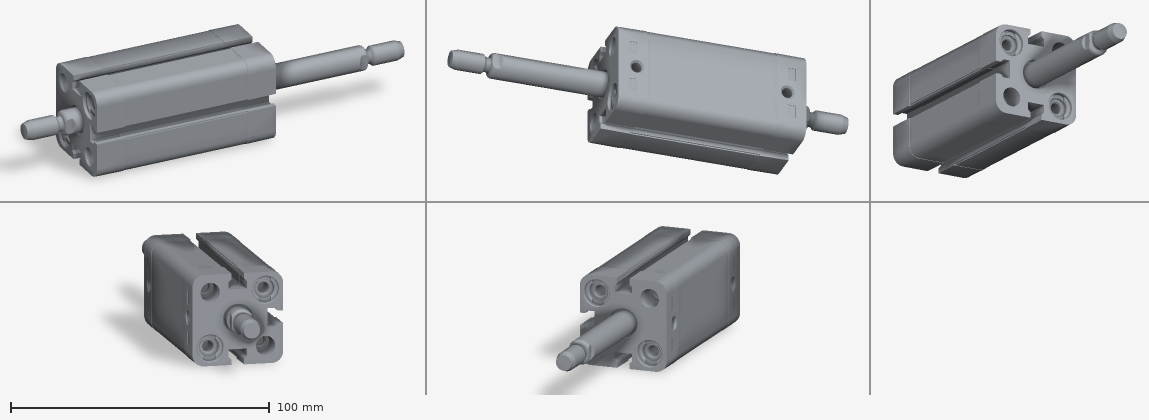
import cadquery as cq
import math

TOTAL_LENGTH = 162.1
FRONT_PROJECTION = 22.5
HOUSING_LENGTH = 77.0
CAP_LENGTH = 12.0

FRONT_TIP_Y = -TOTAL_LENGTH / 2
REAR_TIP_Y = TOTAL_LENGTH / 2
FRONT_FACE_Y = FRONT_TIP_Y + FRONT_PROJECTION
REAR_FACE_Y = FRONT_FACE_Y + HOUSING_LENGTH
MIDDLE_Y = (FRONT_FACE_Y + REAR_FACE_Y) / 2
BARREL_LENGTH = HOUSING_LENGTH - 2 * CAP_LENGTH

CAP_WIDTH = 36.3
CAP_TAPER = 0.23
BARREL_WIDTH = 36.0
FLAT_WIDTH = 27.0

SLOT_MOUTH = 5.0
CAP_SLOT_BOTTOM = 7.3
BARREL_SLOT_BOTTOM = 6.8
SLOT_DEPTH = 6.3
SLOT_LIP = 2.3
SLOT_REBATE = 0.5
SLOT_ANGLES = (0, 90, 180)

CORNER_PITCH = 22.0
BOLT_HOLE_D = 4.2
BOLT_COUNTERSINK_D = 5.2
SOCKET_D = 7.6
SOCKET_DEPTH = 9.7
COUNTERBORED_SOCKET_DEPTH = 3.2
COUNTERBORE_D = 10.5
COUNTERBORE_DEPTH = 1.3
COUNTERBORE_CHAMFER = 0.25
LEDGE_COUNTERSINK_D = 8.6
LEDGE_SLOT_WIDTH = 5.0
LEDGE_SLOT_DEPTH = 1.0

PORT_D = 4.2
PORT_MOUTH_D = 5.8
PORT_DEPTH = 8.1
PORT_INSET = 7.6
MARK_LENGTH = 3.2
MARK_HEIGHT = 5.2
MARK_DEPTH = 0.25
MARK_INSET = 6.0
MARK_Z = 8.1

ROD_D = 10.0
ROD_RECESS_D = 11.3
ROD_RECESS_MOUTH_D = 12.0
ROD_RECESS_DEPTH = 1.6
THREAD_D = 8.0
GROOVE_D = 5.8
TIP_D = 6.3
SHOULDER_FROM_TIP = 15.9
SHOULDER_ROUND = 1.5
GROOVE_ROUND = 0.5
GROOVE_LENGTH = 2.0
TIP_CHAMFER_LENGTH = 2.6
WRENCH_WIDTH = 8.0
WRENCH_FLAT_LENGTH = 3.0


def rounded_square(width):
    """Square in the XZ plane, its corners rounded so that every size has the same flats."""
    radius = (width - FLAT_WIDTH) / 2
    return cq.Sketch().rect(width, width).vertices().fillet(radius)


def y_cylinder(diameter, start_y, length, x=0.0, z=0.0):
    return cq.Workplane(
        cq.Solid.makeCylinder(diameter / 2, length, cq.Vector(x, start_y, z), cq.Vector(0, 1, 0))
    )


def y_cone(start_diameter, end_diameter, start_y, length, x=0.0, z=0.0):
    return cq.Workplane(
        cq.Solid.makeCone(
            start_diameter / 2, end_diameter / 2, length, cq.Vector(x, start_y, z), cq.Vector(0, 1, 0)
        )
    )


def cut_slots(body, width, bottom_width, start_y, length, rebate=0.0):
    """Cut the undercut sensor slot into the top, +X and bottom sides, stepped at its edges by the rebate."""
    top = width / 2
    mouth = SLOT_MOUTH / 2
    bottom = bottom_width / 2
    lip_z = CAP_WIDTH / 2 - SLOT_LIP
    floor_z = CAP_WIDTH / 2 - SLOT_DEPTH
    right_side = [(bottom, floor_z), (bottom, lip_z - (bottom - mouth)), (mouth, lip_z)]
    if rebate > 0:
        right_side.append((mouth, top - rebate))
        right_side.append((mouth + rebate, top - rebate))
    right_side.append((mouth + rebate, CAP_WIDTH))
    left_side = [(-x, z) for x, z in reversed(right_side)]
    profile = cq.Workplane("XZ", origin=(0, start_y, 0)).polyline(right_side + left_side).close()
    slot = profile.extrude(-length)
    for angle in SLOT_ANGLES:
        body = body.cut(slot.rotate((0, 0, 0), (0, 1, 0), angle))
    return body


def make_barrel():
    start_y = FRONT_FACE_Y + CAP_LENGTH
    barrel = cq.Workplane("XZ", origin=(0, start_y, 0)).placeSketch(rounded_square(BARREL_WIDTH))
    barrel = barrel.extrude(-BARREL_LENGTH)
    barrel = cut_slots(barrel, BARREL_WIDTH, BARREL_SLOT_BOTTOM, start_y, BARREL_LENGTH, SLOT_REBATE)
    return barrel.cut(y_cylinder(ROD_D, start_y, BARREL_LENGTH))


def cut_socket(cap, x, z, depth):
    """Corner hole that narrows, through a countersink, to the bolt hole."""
    floor_y = FRONT_FACE_Y + depth
    countersink = (BOLT_COUNTERSINK_D - BOLT_HOLE_D) / 2
    cap = cap.cut(y_cylinder(BOLT_HOLE_D, FRONT_FACE_Y, CAP_LENGTH, x, z))
    cap = cap.cut(y_cylinder(SOCKET_D, FRONT_FACE_Y, depth, x, z))
    return cap.cut(y_cone(BOLT_COUNTERSINK_D, BOLT_HOLE_D, floor_y, countersink, x, z))


def cut_counterbore(cap, x, z):
    """Chamfered counterbore whose ledge is countersunk and notched above and below the socket."""
    mouth_d = COUNTERBORE_D + 2 * COUNTERBORE_CHAMFER
    ledge_y = FRONT_FACE_Y + COUNTERBORE_DEPTH
    countersink = (LEDGE_COUNTERSINK_D - SOCKET_D) / 2
    cap = cap.cut(y_cone(mouth_d, COUNTERBORE_D, FRONT_FACE_Y, COUNTERBORE_CHAMFER, x, z))
    cap = cap.cut(y_cylinder(COUNTERBORE_D, FRONT_FACE_Y, COUNTERBORE_DEPTH, x, z))
    cap = cap.cut(y_cone(LEDGE_COUNTERSINK_D, SOCKET_D, ledge_y, countersink, x, z))
    slot = cq.Workplane("XY").box(LEDGE_SLOT_WIDTH, LEDGE_SLOT_DEPTH, COUNTERBORE_D)
    slot = slot.translate((x, ledge_y + LEDGE_SLOT_DEPTH / 2, z))
    return cap.cut(slot.intersect(y_cylinder(COUNTERBORE_D, ledge_y, LEDGE_SLOT_DEPTH, x, z)))


def cut_corner_holes(cap):
    """Sockets in all four corners; those on one diagonal also have a counterbore."""
    offset = CORNER_PITCH / 2
    for x in (-offset, offset):
        for z in (-offset, offset):
            if x == z:
                cap = cut_socket(cap, x, z, COUNTERBORED_SOCKET_DEPTH)
                cap = cut_counterbore(cap, x, z)
            else:
                cap = cut_socket(cap, x, z, SOCKET_DEPTH)
    return cap


def cut_rod_passage(cap):
    """Through hole for the rod, with a wider chamfered recess at the outer face."""
    chamfer = (ROD_RECESS_MOUTH_D - ROD_RECESS_D) / 2
    cap = cap.cut(y_cylinder(ROD_D, FRONT_FACE_Y, CAP_LENGTH))
    cap = cap.cut(y_cylinder(ROD_RECESS_D, FRONT_FACE_Y, ROD_RECESS_DEPTH))
    return cap.cut(y_cone(ROD_RECESS_MOUTH_D, ROD_RECESS_D, FRONT_FACE_Y, chamfer))


def cut_port(cap):
    """Blind, countersunk air port in the -X side."""
    side_x = -CAP_WIDTH / 2
    chamfer = (PORT_MOUTH_D - PORT_D) / 2
    mouth = cq.Vector(side_x, FRONT_FACE_Y + PORT_INSET, 0)
    inward = cq.Vector(1, 0, 0)
    cap = cap.cut(cq.Workplane(cq.Solid.makeCylinder(PORT_D / 2, PORT_DEPTH, mouth, inward)))
    return cap.cut(cq.Workplane(cq.Solid.makeCone(PORT_MOUTH_D / 2, PORT_D / 2, chamfer, mouth, inward)))


def cut_marks(cap):
    """Shallow rectangular recesses above and below the port."""
    for z in (-MARK_Z, MARK_Z):
        mark = cq.Workplane("XY").box(2 * MARK_DEPTH, MARK_LENGTH, MARK_HEIGHT)
        cap = cap.cut(mark.translate((-CAP_WIDTH / 2, FRONT_FACE_Y + MARK_INSET, z)))
    return cap


def make_front_cap():
    cap = (
        cq.Workplane("XZ", origin=(0, FRONT_FACE_Y, 0))
        .placeSketch(
            rounded_square(CAP_WIDTH - CAP_TAPER),
            rounded_square(CAP_WIDTH).moved(cq.Location(cq.Vector(0, 0, -CAP_LENGTH))),
        )
        .loft()
    )
    cap = cut_slots(cap, CAP_WIDTH, CAP_SLOT_BOTTOM, FRONT_FACE_Y, CAP_LENGTH)
    cap = cut_corner_holes(cap)
    cap = cut_rod_passage(cap)
    cap = cut_port(cap)
    return cut_marks(cap)


def mirror_to_rear(body):
    return body.mirror("XZ", (0, MIDDLE_Y, 0))


def make_rod(length):
    """Rod along +Y from its threaded tip at the origin, with wrench flats behind the shoulder."""
    groove_end = SHOULDER_FROM_TIP
    groove_start = groove_end - GROOVE_LENGTH
    thread_end = groove_start - (THREAD_D - GROOVE_D) / 2
    rod_r = ROD_D / 2
    groove_r = GROOVE_D / 2
    arc_inset = 1 - math.sqrt(0.5)
    profile = (
        cq.Workplane("XY")
        .polyline([(0, 0), (TIP_D / 2, 0), (THREAD_D / 2, TIP_CHAMFER_LENGTH), (THREAD_D / 2, thread_end)])
        .lineTo(groove_r, groove_start)
        .lineTo(groove_r, groove_end - GROOVE_ROUND)
        .threePointArc(
            (groove_r + GROOVE_ROUND * arc_inset, groove_end - GROOVE_ROUND * arc_inset),
            (groove_r + GROOVE_ROUND, groove_end),
        )
        .lineTo(rod_r - SHOULDER_ROUND, groove_end)
        .threePointArc(
            (rod_r - SHOULDER_ROUND * arc_inset, groove_end + SHOULDER_ROUND * arc_inset),
            (rod_r, groove_end + SHOULDER_ROUND),
        )
        .lineTo(rod_r, length)
        .lineTo(0, length)
        .close()
    )
    rod = profile.revolve(360, (0, 0, 0), (0, 1, 0))
    return cut_wrench_flats(rod)


def cut_wrench_flats(rod):
    """Two flats facing -X and +X that run out at 45 degrees."""
    inner_x = WRENCH_WIDTH / 2
    flat_end = SHOULDER_FROM_TIP + WRENCH_FLAT_LENGTH
    outline = [
        (inner_x, SHOULDER_FROM_TIP),
        (inner_x, flat_end),
        (ROD_D, flat_end + ROD_D - inner_x),
        (ROD_D, SHOULDER_FROM_TIP),
    ]
    flat = cq.Workplane("XY").polyline(outline).close().extrude(ROD_D, both=True)
    return rod.cut(flat).cut(flat.mirror("YZ"))


barrel = make_barrel()
front_cap = make_front_cap()
rear_cap = mirror_to_rear(front_cap)

front_rod = make_rod(MIDDLE_Y - FRONT_TIP_Y).translate((0, FRONT_TIP_Y, 0))
rear_rod = make_rod(REAR_TIP_Y - MIDDLE_Y).mirror("XZ").translate((0, REAR_TIP_Y, 0))

result = cq.Compound.makeCompound(
    [barrel.val(), front_cap.val(), rear_cap.val(), front_rod.val(), rear_rod.val()]
)